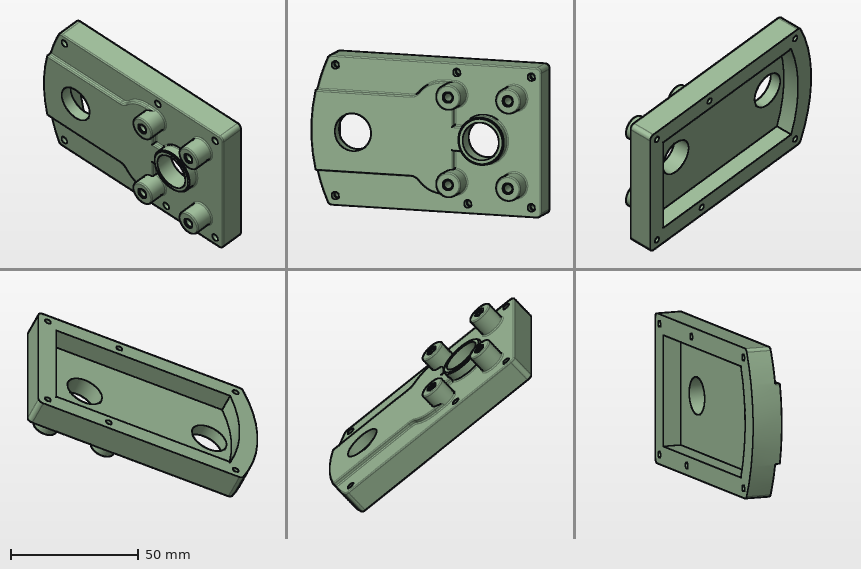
import cadquery as cq
import math

LENGTH = 95.0
HEIGHT = 60.0
FLOOR_DEPTH = 10.5
CAVITY_DEPTH = 7.5
PAD_DEPTH = 12.5
COLLAR_DEPTH = 15.0
POST_DEPTH = 18.5

NOSE_RADIUS = 70.0
CORNER_RADIUS = 2.0
EDGE_ROUND = 0.5
SOCKET_CHAMFER = 0.5
TOLERANCE = 0.01

BORE_RADIUS = 7.5
BORE_X = 17.5
COLLAR_X = 71.4
COLLAR_RADIUS = 9.5

POST_XS = (59.0, 83.9)
POST_Z = 17.5
POST_RADIUS = 5.0
SOCKET_RADIUS = 1.7
SOCKET_DEPTH = 9.5

PAD_HALF_HEIGHT = 16.1
PAD_SWELL_START_X = 41.3
PAD_SWELL_END_X = 54.9
PAD_HOLLOW_RADIUS = 4.4
PAD_SWELL_HALF_HEIGHT = POST_Z + POST_RADIUS
PAD_END_X = POST_XS[0]
BRIDGE_HALF_HEIGHT = 4.9

SCREW_RADIUS = 1.2
SCREW_MOUTH_RADIUS = 1.5
SCREW_MOUTH_DEPTH = FLOOR_DEPTH - CAVITY_DEPTH
SCREW_Z = 26.1
SCREW_POINTS = (
    (9.5, SCREW_Z),
    (59.9, SCREW_Z),
    (90.9, SCREW_Z),
    (9.5, -SCREW_Z),
    (64.5, -SCREW_Z),
    (90.9, -SCREW_Z),
)

WALL = 2 * (HEIGHT / 2 - SCREW_Z)


def front_plane(depth):
    """Sketch plane facing -Y, with local x = X and local y = Z."""
    return cq.Workplane("XZ", origin=(0, -depth, 0))


def cylinder(x, z, radius, start, end):
    return front_plane(start).center(x, z).circle(radius).extrude(end - start)


def plate_outline():
    """Plate outline with a bowed left end and sharp corners."""
    half = HEIGHT / 2
    nose_x = NOSE_RADIUS - math.sqrt(NOSE_RADIUS**2 - half**2)
    return (
        front_plane(0)
        .moveTo(nose_x, half)
        .threePointArc((0, 0), (nose_x, -half))
        .lineTo(LENGTH, -half)
        .lineTo(LENGTH, half)
        .close()
    )


def plate(depth):
    return plate_outline().extrude(depth).edges("|Y").fillet(CORNER_RADIUS)


def swell_points():
    """Mid points and inflection of the S curve that widens the pad.

    Two tangent arcs join the flank to the swell, both level at their outer ends.
    """
    run = PAD_SWELL_END_X - PAD_SWELL_START_X
    rise = PAD_SWELL_HALF_HEIGHT - PAD_HALF_HEIGHT
    angle = 2 * math.atan2(rise, run)
    swell_radius = run / math.sin(angle) - PAD_HOLLOW_RADIUS

    def on_hollow(a):
        return (
            PAD_SWELL_START_X + PAD_HOLLOW_RADIUS * math.sin(a),
            PAD_HALF_HEIGHT + PAD_HOLLOW_RADIUS * (1 - math.cos(a)),
        )

    swell_middle = (
        PAD_SWELL_END_X - swell_radius * math.sin(angle / 2),
        PAD_SWELL_HALF_HEIGHT - swell_radius * (1 - math.cos(angle / 2)),
    )
    return on_hollow(angle / 2), on_hollow(angle), swell_middle


def pad_profile():
    """Pad outline; it overruns the plate on the left and ends inside the collar."""
    hollow_middle, inflection, swell_middle = swell_points()
    overrun_x = -CORNER_RADIUS

    def mirrored(point):
        return (point[0], -point[1])

    swell_end = (PAD_SWELL_END_X, PAD_SWELL_HALF_HEIGHT)
    flank_end = (PAD_SWELL_START_X, PAD_HALF_HEIGHT)
    return (
        front_plane(0)
        .moveTo(overrun_x, PAD_HALF_HEIGHT)
        .lineTo(*flank_end)
        .threePointArc(hollow_middle, inflection)
        .threePointArc(swell_middle, swell_end)
        .lineTo(PAD_END_X, PAD_SWELL_HALF_HEIGHT)
        .lineTo(PAD_END_X, BRIDGE_HALF_HEIGHT)
        .lineTo(COLLAR_X, BRIDGE_HALF_HEIGHT)
        .lineTo(COLLAR_X, -BRIDGE_HALF_HEIGHT)
        .lineTo(PAD_END_X, -BRIDGE_HALF_HEIGHT)
        .lineTo(PAD_END_X, -PAD_SWELL_HALF_HEIGHT)
        .lineTo(*mirrored(swell_end))
        .threePointArc(mirrored(swell_middle), mirrored(inflection))
        .threePointArc(mirrored(hollow_middle), mirrored(flank_end))
        .lineTo(overrun_x, -PAD_HALF_HEIGHT)
        .close()
    )


def post(x, z):
    return cylinder(x, z, POST_RADIUS, 0, POST_DEPTH).faces("<Y").edges().fillet(EDGE_ROUND)


def floor_edges(solid, x_min, x_max, half_height):
    """Edges that lie in the lower front face and fit whole inside a rectangle."""
    box = cq.selectors.BoxSelector(
        (x_min - TOLERANCE, -FLOOR_DEPTH - TOLERANCE, -half_height - TOLERANCE),
        (x_max + TOLERANCE, -FLOOR_DEPTH + TOLERANCE, half_height + TOLERANCE),
        boundingbox=True,
    )
    return solid.edges(box)


def socket_cutter(x, z):
    """Blind hole in the tip of a post, with a chamfered mouth."""
    hole = cylinder(x, z, SOCKET_RADIUS, POST_DEPTH - SOCKET_DEPTH, POST_DEPTH)
    mouth = front_plane(POST_DEPTH).center(x, z).circle(SOCKET_RADIUS + SOCKET_CHAMFER)
    return hole.union(mouth.extrude(-SOCKET_CHAMFER, taper=45))


def screw_cutter(x, z):
    """Through hole that is slightly wider behind the front face."""
    hole = cylinder(x, z, SCREW_RADIUS, 0, FLOOR_DEPTH)
    return hole.union(cylinder(x, z, SCREW_MOUTH_RADIUS, FLOOR_DEPTH - SCREW_MOUTH_DEPTH, FLOOR_DEPTH))


pad = pad_profile().extrude(PAD_DEPTH).faces("<Y").edges("not <X").fillet(EDGE_ROUND)
body = plate(FLOOR_DEPTH).union(plate(PAD_DEPTH).intersect(pad))

collar = cylinder(COLLAR_X, 0, COLLAR_RADIUS, 0, COLLAR_DEPTH)
body = body.union(collar.faces("<Y").chamfer(EDGE_ROUND))
post_points = [(x, z) for x in POST_XS for z in (POST_Z, -POST_Z)]
for x, z in post_points:
    body = body.union(post(x, z))

body = floor_edges(body, 0, LENGTH - CORNER_RADIUS, SCREW_Z).fillet(EDGE_ROUND)

right_edge_start = LENGTH - CORNER_RADIUS
body = floor_edges(body, right_edge_start, LENGTH, HEIGHT / 2 - CORNER_RADIUS).fillet(EDGE_ROUND)

cavity = plate_outline().offset2D(-WALL).extrude(CAVITY_DEPTH)
body = body.cut(cavity)

for x in (BORE_X, COLLAR_X):
    body = body.cut(cylinder(x, 0, BORE_RADIUS, 0, COLLAR_DEPTH))
for x, z in post_points:
    body = body.cut(socket_cutter(x, z))
for x, z in SCREW_POINTS:
    body = body.cut(screw_cutter(x, z))

result = body